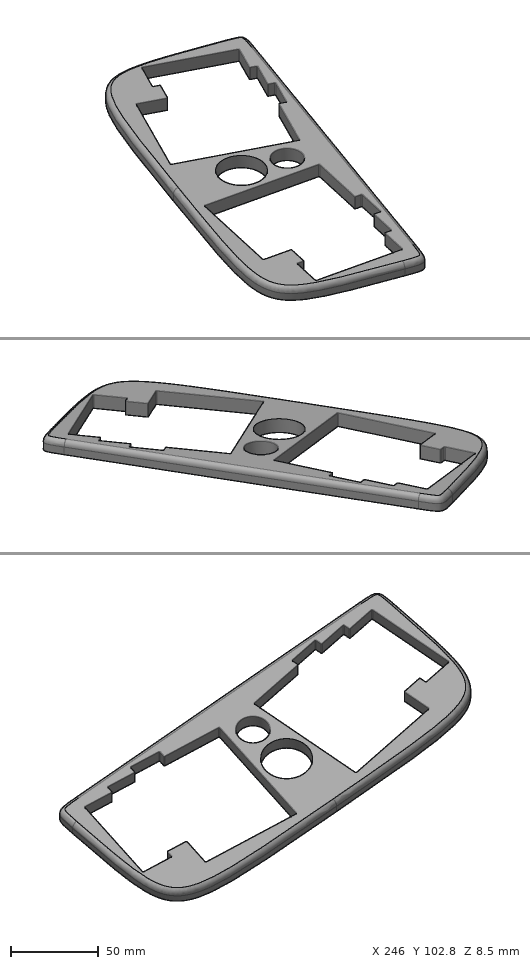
import cadquery as cq
length = 246.0
width = 102.8
thickness = 8.5
top_edge_radius = 4.0
top_trim = 0.12
rim_radius = 0.2

back_corner_size = 15.0
side_handle_y = -36.2
front_handle_x = 100.5

small_hole_diameter = 19.5
small_hole_y = 20.2
large_hole_diameter = 29.5
large_hole_y = -8.5

window_tilt = 7.0
window_corner_x = 22.6
window_corner_y = -42.5
window_length = 96.5
window_height = 77.2
window_corner_radius = 0.5
step = 4.7
back_step_1 = 38.1
back_step_2 = 58.3
back_step_3 = 77.2
tab_inner = 63.0
tab_outer = 76.5
tab_height = 19.0

half_length = length / 2
half_width = width / 2


def make_plate():
    corner_y = half_width - back_corner_size
    corner_x = half_length - back_corner_size
    outline = (
        cq.Workplane("XY")
        .moveTo(-corner_x, half_width)
        .lineTo(corner_x, half_width)
        .bezier(
            [
                (corner_x, half_width),
                (half_length, half_width),
                (half_length, half_width),
                (half_length, corner_y),
            ]
        )
        .bezier(
            [
                (half_length, corner_y),
                (half_length, side_handle_y),
                (half_length, -half_width),
                (front_handle_x, -half_width),
                (0, -half_width),
            ]
        )
        .bezier(
            [
                (0, -half_width),
                (-front_handle_x, -half_width),
                (-half_length, -half_width),
                (-half_length, side_handle_y),
                (-half_length, corner_y),
            ]
        )
        .bezier(
            [
                (-half_length, corner_y),
                (-half_length, half_width),
                (-half_length, half_width),
                (-corner_x, half_width),
            ]
        )
        .close()
    )
    plate = outline.extrude(thickness + top_trim)
    plate = plate.faces(">Z").edges().fillet(top_edge_radius)
    shaving = cq.Workplane("XY").rect(2 * length, 2 * width).extrude(top_trim)
    return plate.cut(shaving.translate((0, 0, thickness)))


def make_right_window():
    corners = [
        (0, 0),
        (tab_inner, 0),
        (tab_inner, tab_height),
        (tab_outer, tab_height),
        (tab_outer, tab_height - step),
        (window_length, tab_height - step),
        (window_length, window_height - step),
        (back_step_3, window_height - step),
        (back_step_3, window_height),
        (back_step_2, window_height),
        (back_step_2, window_height + step),
        (back_step_1, window_height + step),
        (back_step_1, window_height),
        (0, window_height),
    ]
    return (
        cq.Workplane("XY")
        .polyline(corners)
        .close()
        .extrude(thickness)
        .edges("|Z")
        .fillet(window_corner_radius)
        .rotate((0, 0, 0), (0, 0, 1), window_tilt)
        .translate((window_corner_x, window_corner_y, 0))
    )


def make_hole(diameter, centre_y):
    return cq.Workplane("XY").center(0, centre_y).circle(diameter / 2).extrude(thickness)


def round_upper_rims(body):
    """Round the upper rim of every opening cut so far."""
    top_face = body.faces(">Z").val()
    rim_edges = [edge for rim in top_face.innerWires() for edge in rim.Edges()]
    return body.newObject(rim_edges).fillet(rim_radius)


right_window = make_right_window()
left_window = right_window.mirror("YZ")

plate = make_plate().cut(right_window).cut(left_window)
plate = plate.cut(make_hole(small_hole_diameter, small_hole_y))
plate = round_upper_rims(plate)

result = plate.cut(make_hole(large_hole_diameter, large_hole_y))